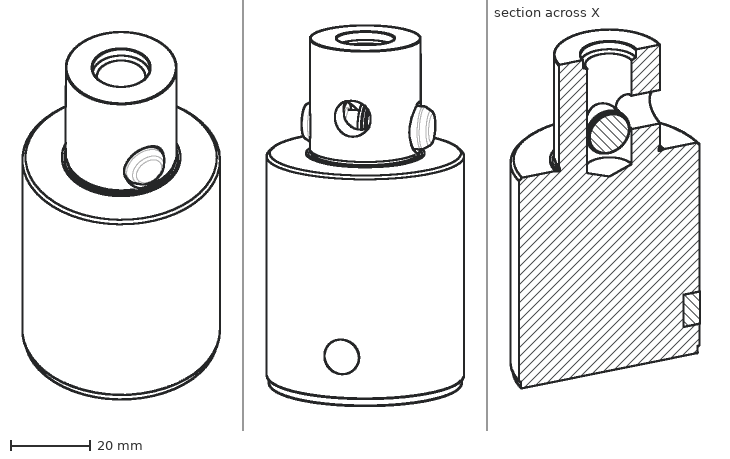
import cadquery as cq
import math

TOTAL_HEIGHT = 90.0
BODY_RADIUS = 25.0
BODY_TOP = 60.0
BODY_TOP_CHAMFER = 0.8
PILOT_RADIUS = 14.0
PILOT_TOP_CHAMFER = 0.2

FOOT_RADIUS = 24.5
FOOT_HEIGHT = 2.0
FOOT_CHAMFER = 0.3

RELIEF_TOP = BODY_TOP + 1.1
RELIEF_NECK_RADIUS = 13.7
RELIEF_NECK_TOP = BODY_TOP + 0.2
RELIEF_MOUTH_RADIUS = 15.0
RELIEF_WIDTH = 0.6
RELIEF_DEPTH = 0.3

MOUTH_RADIUS = 7.3
MOUTH_CHAMFER = 0.2
MOUTH_DEPTH = 2.25
BORE_RADIUS = 6.1
STEP_DROP = 0.6
BORE_BOTTOM = 57.6
DRILL_POINT_ANGLE = 140.0

CROSS_HOLE_Z = BODY_TOP + 7.5
CROSS_HOLE_RADIUS = 5.7
COUNTERSINK_RADIUS = 6.7

SIDE_HOLE_Z = BODY_TOP + 12.2
SIDE_HOLE_RADIUS = 4.7

PIN_RADIUS = 5.5
PIN_LEFT_END = -17.4
PIN_RIGHT_END = 15.75
PIN_TIP_RADIUS = 4.1
PIN_CONE_LENGTH = 2.25
PIN_EDGE_FILLET = 1.0
WAIST_RADIUS = 3.5
WAIST_START = 0.7
WAIST_END = 4.9
WAIST_FILLET = 0.5

GROOVE_START = -1.6
GROOVE_END = -0.2
GROOVE_RADIUS = 4.9
RING_RADIUS = 5.85
RING_WIDTH = 0.7

PLUG_Z = 12.9
PLUG_RADIUS = 4.5
PLUG_OUTER_Y = 25.1
PLUG_LENGTH = 4.5


def x_cylinder(radius, start, end):
    """Cylinder on the pin axis between two X positions."""
    return cq.Workplane("YZ", origin=(start, 0, CROSS_HOLE_Z)).circle(radius).extrude(end - start)


def y_cylinder(radius, start, end, z):
    """Cylinder along Y at height z between two Y positions."""
    return cq.Workplane("XZ", origin=(0, start, z)).circle(radius).extrude(start - end)


def body_outside():
    """Turned outer shape with foot, chamfers and relief groove."""
    profile = [
        (0, 0),
        (FOOT_RADIUS - FOOT_CHAMFER, 0),
        (FOOT_RADIUS, FOOT_CHAMFER),
        (FOOT_RADIUS, FOOT_HEIGHT),
        (BODY_RADIUS - FOOT_CHAMFER, FOOT_HEIGHT),
        (BODY_RADIUS, FOOT_HEIGHT + FOOT_CHAMFER),
        (BODY_RADIUS, BODY_TOP - BODY_TOP_CHAMFER),
        (BODY_RADIUS - BODY_TOP_CHAMFER, BODY_TOP),
        (RELIEF_MOUTH_RADIUS, BODY_TOP),
        (RELIEF_MOUTH_RADIUS - RELIEF_WIDTH, BODY_TOP - RELIEF_DEPTH),
        (RELIEF_NECK_RADIUS, BODY_TOP - RELIEF_DEPTH),
        (RELIEF_NECK_RADIUS, RELIEF_NECK_TOP),
        (PILOT_RADIUS, RELIEF_TOP),
        (PILOT_RADIUS, TOTAL_HEIGHT - PILOT_TOP_CHAMFER),
        (PILOT_RADIUS - PILOT_TOP_CHAMFER, TOTAL_HEIGHT),
        (0, TOTAL_HEIGHT),
    ]
    return cq.Workplane("XZ").polyline(profile).close().revolve(360, (0, 0), (0, 1))


def bore():
    """Stepped bore with a chamfered mouth and a drill point."""
    point_depth = BORE_RADIUS / math.tan(math.radians(DRILL_POINT_ANGLE / 2))
    step_top = TOTAL_HEIGHT - MOUTH_DEPTH
    profile = [
        (0, TOTAL_HEIGHT),
        (MOUTH_RADIUS + MOUTH_CHAMFER, TOTAL_HEIGHT),
        (MOUTH_RADIUS, TOTAL_HEIGHT - MOUTH_CHAMFER),
        (MOUTH_RADIUS, step_top),
        (BORE_RADIUS, step_top - STEP_DROP),
        (BORE_RADIUS, BORE_BOTTOM),
        (0, BORE_BOTTOM - point_depth),
    ]
    return cq.Workplane("XZ").polyline(profile).close().revolve(360, (0, 0), (0, 1))


def cross_hole():
    """Hole through the pilot along X, opening at 45 degrees towards both ends."""
    hole = x_cylinder(CROSS_HOLE_RADIUS, -PILOT_RADIUS, PILOT_RADIUS)
    depth = COUNTERSINK_RADIUS - CROSS_HOLE_RADIUS
    for side in (-1, 1):
        sink = cq.Solid.makeCone(
            COUNTERSINK_RADIUS,
            CROSS_HOLE_RADIUS,
            depth,
            cq.Vector(side * PILOT_RADIUS, 0, CROSS_HOLE_Z),
            cq.Vector(-side, 0, 0),
        )
        hole = hole.union(cq.Workplane(sink))
    return hole


def make_plug():
    """Round plug standing slightly proud of the body side."""
    return y_cylinder(PLUG_RADIUS, PLUG_OUTER_Y - PLUG_LENGTH, PLUG_OUTER_Y, PLUG_Z)


def make_body():
    """Body with its bore, pin hole, side hole and plug recess."""
    side_hole = y_cylinder(SIDE_HOLE_RADIUS, 0, PILOT_RADIUS, SIDE_HOLE_Z)
    return body_outside().cut(bore()).cut(cross_hole()).cut(side_hole).cut(make_plug())


def make_pin():
    """Turned pin with two conical heads, a waist between them and a ring groove."""
    profile = [
        (PIN_LEFT_END, 0),
        (PIN_LEFT_END, PIN_TIP_RADIUS),
        (PIN_LEFT_END + PIN_CONE_LENGTH, PIN_RADIUS),
        (GROOVE_START, PIN_RADIUS),
        (GROOVE_START, GROOVE_RADIUS),
        (GROOVE_END, GROOVE_RADIUS),
        (GROOVE_END, PIN_RADIUS),
        (WAIST_START, PIN_RADIUS),
        (WAIST_START, WAIST_RADIUS),
        (WAIST_END, WAIST_RADIUS),
        (WAIST_END, PIN_RADIUS),
        (PIN_RIGHT_END - PIN_CONE_LENGTH, PIN_RADIUS),
        (PIN_RIGHT_END, PIN_TIP_RADIUS),
        (PIN_RIGHT_END, 0),
    ]
    pin = cq.Workplane("XY").polyline(profile).close().revolve(360, (0, 0), (1, 0))
    pin = pin.edges("%CIRCLE").edges(cq.selectors.RadiusNthSelector(0)).fillet(WAIST_FILLET)
    cone_edges = (
        PIN_LEFT_END,
        PIN_LEFT_END + PIN_CONE_LENGTH,
        PIN_RIGHT_END - PIN_CONE_LENGTH,
        PIN_RIGHT_END,
    )
    for x in cone_edges:
        circle_at_x = cq.selectors.NearestToPointSelector((x, 0, 0))
        pin = pin.edges("%CIRCLE").edges(circle_at_x).fillet(PIN_EDGE_FILLET)
    return pin.translate((0, 0, CROSS_HOLE_Z))


def make_ring():
    """Flat ring centred in the pin groove."""
    start = (GROOVE_START + GROOVE_END - RING_WIDTH) / 2
    ring = x_cylinder(RING_RADIUS, start, start + RING_WIDTH)
    return ring.cut(x_cylinder(GROOVE_RADIUS, start, start + RING_WIDTH))


body = make_body()
pin = make_pin()
ring = make_ring()
plug = make_plug()

result = cq.Compound.makeCompound([body.val(), pin.val(), ring.val(), plug.val()])